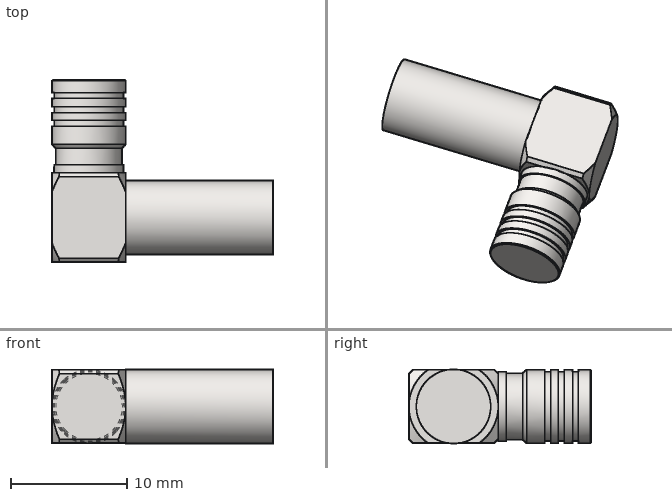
import cadquery as cq
import math

TOTAL_LENGTH = 19.05
TOTAL_DEPTH = 15.7

BLOCK_WIDTH = 6.36
BLOCK_DEPTH = 7.7
BLOCK_HEIGHT = 6.32
EDGE_CHAMFER = 0.35
CORNER_ANGLE = 35.0
face_radius = BLOCK_DEPTH / 2
block_radius = math.hypot(BLOCK_DEPTH / 2, BLOCK_HEIGHT / 2)

PLUG_DIAMETER = 6.36
GROOVE_DIAMETER = 5.98
NECK_DIAMETER = 5.73
COLLAR_DIAMETER = 6.0
COLLAR_LENGTH = 0.7
NECK_LENGTH = 1.4
SHOULDER_LENGTH = 0.35
TIP_CHAMFER = 0.1
GROOVE_WIDTH = 0.5
GROOVE_OFFSETS = (1.1, 2.32, 3.49)
plug_start = BLOCK_DEPTH / 2
plug_end = TOTAL_DEPTH - BLOCK_DEPTH / 2
neck_start = plug_start + COLLAR_LENGTH
neck_end = neck_start + NECK_LENGTH
barrel_start = neck_end + SHOULDER_LENGTH

FERRULE_DIAMETER = 6.4
ferrule_length = TOTAL_LENGTH - BLOCK_WIDTH


def make_corner_envelope():
    """Double cone about X that trims the block corners around both of its X faces."""
    cone_length = (block_radius - face_radius) * math.tan(math.radians(CORNER_ANGLE))
    return (
        cq.Workplane("XY")
        .moveTo(0, 0)
        .lineTo(0, face_radius)
        .lineTo(cone_length, block_radius)
        .lineTo(BLOCK_WIDTH - cone_length, block_radius)
        .lineTo(BLOCK_WIDTH, face_radius)
        .lineTo(BLOCK_WIDTH, 0)
        .close()
        .revolve(360, (0, 0, 0), (1, 0, 0))
    )


def make_block():
    """Box with its four X edges chamfered and its corners turned conical."""
    box = cq.Workplane("XY").box(BLOCK_WIDTH, BLOCK_DEPTH, BLOCK_HEIGHT, centered=(False, True, True))
    return box.edges("|X").chamfer(EDGE_CHAMFER).intersect(make_corner_envelope())


def plug_cylinder(diameter, start, end):
    """Solid cylinder on the plug axis between two Y positions."""
    return (
        cq.Workplane("XZ", origin=(BLOCK_WIDTH / 2, start, 0))
        .circle(diameter / 2)
        .extrude(start - end)
    )


def make_plug():
    """Turned plug: collar, neck, sloping shoulder and grooved barrel."""
    barrel = plug_cylinder(PLUG_DIAMETER, barrel_start, plug_end).faces(">Y").chamfer(TIP_CHAMFER)
    for offset in GROOVE_OFFSETS:
        wall = plug_end - offset
        ring = plug_cylinder(PLUG_DIAMETER, wall - GROOVE_WIDTH, wall)
        barrel = barrel.cut(ring.cut(plug_cylinder(GROOVE_DIAMETER, wall - GROOVE_WIDTH, wall)))
    shoulder = (
        cq.Workplane("XZ", origin=(BLOCK_WIDTH / 2, neck_end, 0))
        .circle(NECK_DIAMETER / 2)
        .workplane(offset=-SHOULDER_LENGTH)
        .circle(PLUG_DIAMETER / 2)
        .loft(ruled=True)
    )
    neck = plug_cylinder(NECK_DIAMETER, neck_start, neck_end)
    collar = plug_cylinder(COLLAR_DIAMETER, plug_start, neck_start)
    return collar.union(neck).union(shoulder).union(barrel)


def make_housing():
    """Block and plug as one solid."""
    return make_block().union(make_plug())


def make_ferrule():
    """Plain round ferrule butted against the +X face of the block."""
    return cq.Workplane("YZ", origin=(BLOCK_WIDTH, 0, 0)).circle(FERRULE_DIAMETER / 2).extrude(ferrule_length)


housing = make_housing()
ferrule = make_ferrule()
result = cq.Compound.makeCompound([housing.val(), ferrule.val()])